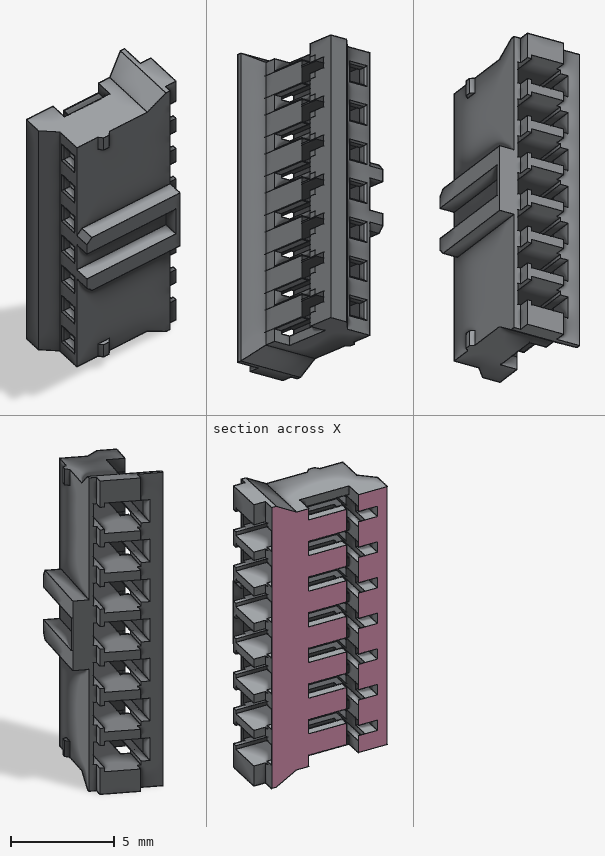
import cadquery as cq


length = 15.8
width = 4.5
depth = 7.0

contact_count = 7
row_span = 12.01
pitch = row_span / (contact_count - 1)
contact_heights = [(i - (contact_count - 1) / 2) * pitch for i in range(contact_count)]

flange_overhang = 0.65
flange_rear = 0.63
flange_land = 0.25
flange_slope = 1.12
flange_front = flange_rear + flange_land + flange_slope
body_left = flange_overhang
body_right = 3.7
body_front = 6.23
body_length = length - 2 * flange_overhang
lip_right = 1.63
lip_slope_right = 2.3

tongue_left = 1.28
tongue_right = 3.32

slot_right = 1.58
slot_rear = 2.69
slot_front = 5.4
finger_right = 1.09
finger_front = 4.77
finger_height = 1.23

left_skin = 0.01
cavity_left = body_left + left_skin
cavity_front = 5.77
cavity_step = 3.08
cavity_right = 3.48
cavity_wide_height = 1.53
cavity_height = 1.14

wire_hole_center = 2.97
wire_hole_size = 0.88
lead_in = 0.1

window_height = 0.55
window_front = 6.45

key_height = 3.5
key_gap_height = 1.65
key_chamfer_y = 0.3
key_chamfer_z = 0.32
key_web_front = flange_rear + flange_land

bump_rise = 0.2
bump_rear = 4.27
bump_front = 4.96
bump_slope = 0.19
bump_length = 0.8


def block(x_range, depth_range, z_range):
    """Box between two X values, two distances in from the rear end and two Z values."""
    (x0, x1), (d0, d1), (z0, z1) = x_range, depth_range, z_range
    return cq.Workplane("XY").box(x1 - x0, d1 - d0, z1 - z0, centered=False).translate((x0, -d1, z0))


def centered_range(middle, size):
    return (middle - size / 2, middle + size / 2)


def make_shell():
    """Body, flange and tongue: a plan outline trimmed by a side outline."""
    plan = (
        cq.Workplane("XY", origin=(0, 0, -length / 2))
        .polyline([
            (tongue_left, 0),
            (tongue_right, 0),
            (tongue_right, -flange_rear),
            (body_right, -flange_rear),
            (body_right, -body_front),
            (lip_slope_right, -body_front),
            (lip_right, -depth),
            (body_left, -depth),
            (body_left, -flange_front),
            (0, -flange_rear - flange_land),
            (0, -flange_rear),
            (tongue_left, -flange_rear),
        ])
        .close()
        .extrude(length)
    )
    side = (
        cq.Workplane("YZ")
        .polyline([
            (0, -length / 2),
            (0, length / 2),
            (-flange_rear - flange_land, length / 2),
            (-flange_front, body_length / 2),
            (-depth, body_length / 2),
            (-depth, -body_length / 2),
            (-flange_front, -body_length / 2),
            (-flange_rear - flange_land, -length / 2),
        ])
        .close()
        .extrude(body_right)
    )
    return plan.intersect(side)


def make_key():
    """Key with chamfered front edges, split into two prongs joined by a web at the rear."""
    half = key_height / 2
    key = (
        cq.Workplane("YZ", origin=(body_right, 0, 0))
        .polyline([
            (-flange_rear, -half),
            (-flange_rear, half),
            (-body_front + key_chamfer_y, half),
            (-body_front, half - key_chamfer_z),
            (-body_front, -half + key_chamfer_z),
            (-body_front + key_chamfer_y, -half),
        ])
        .close()
        .extrude(width - body_right)
    )
    gap = block((body_right, width), (key_web_front, body_front), centered_range(0, key_gap_height))
    return key.cut(gap)


def make_bump(bottom):
    return (
        cq.Workplane("XY", origin=(0, 0, bottom))
        .polyline([
            (body_right, -bump_rear),
            (body_right + bump_rise, -bump_rear - bump_slope),
            (body_right + bump_rise, -bump_front + bump_slope),
            (body_right, -bump_front),
        ])
        .close()
        .extrude(bump_length)
    )


def make_cavity(z):
    """Stepped cavity: its narrow part leaves only a thin skin of the left face and hollows the finger."""
    wide = block((finger_right, cavity_step), (0, slot_front), centered_range(z, cavity_wide_height))
    narrow = block((cavity_left, cavity_right), (0, cavity_front), centered_range(z, cavity_height))
    return wide.union(narrow)


def make_wire_hole(z):
    """Square hole with a tapered lead-in at the front face."""
    hole = block(
        centered_range(wire_hole_center, wire_hole_size),
        (cavity_front, body_front),
        centered_range(z, wire_hole_size),
    )
    mouth_size = wire_hole_size + 2 * lead_in
    mouth = (
        cq.Workplane("XZ", origin=(wire_hole_center, -body_front, z))
        .rect(mouth_size, mouth_size)
        .workplane(offset=-lead_in)
        .rect(wire_hole_size, wire_hole_size)
        .loft()
    )
    return hole.union(mouth)


def make_window(z):
    return block((body_left, slot_right), (slot_front, window_front), centered_range(z, window_height))


def make_finger(z):
    return block((body_left, finger_right), (slot_rear, finger_front), centered_range(z, finger_height))


housing = make_shell().union(make_key())
for bump_bottom in (-body_length / 2, body_length / 2 - bump_length):
    housing = housing.union(make_bump(bump_bottom))

housing = housing.cut(
    block((body_left, slot_right), (slot_rear, slot_front), centered_range(0, body_length))
)
for z in contact_heights:
    housing = housing.union(make_finger(z))
    housing = housing.cut(make_cavity(z)).cut(make_wire_hole(z)).cut(make_window(z))

result = housing